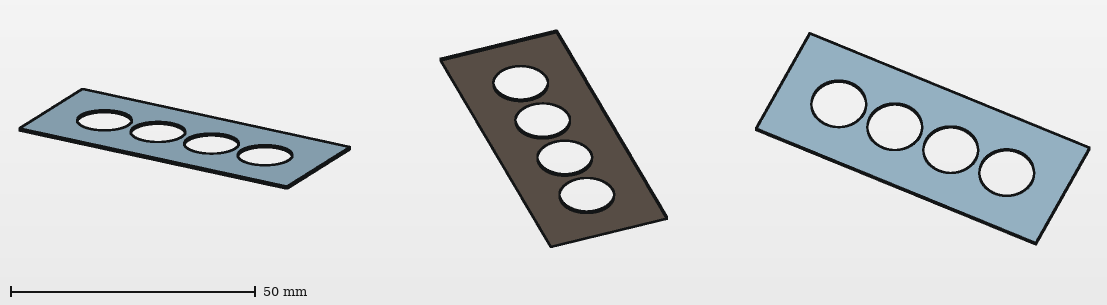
import cadquery as cq

plate_length = 63.5
plate_width = 25.4
plate_thickness = 0.5

hole_count = 4
hole_diameter = 11.18
hole_pitch = plate_width / 2


def make_plate():
    """Flat rectangular plate resting on Z = 0."""
    return cq.Workplane("XY").box(
        plate_length, plate_width, plate_thickness, centered=(True, True, False)
    )


def cut_hole_row(plate):
    """Cut the evenly spaced holes along the plate's long centreline."""
    return (
        plate.faces(">Z")
        .workplane()
        .rarray(hole_pitch, 1, hole_count, 1)
        .hole(hole_diameter)
    )


result = cut_hole_row(make_plate())